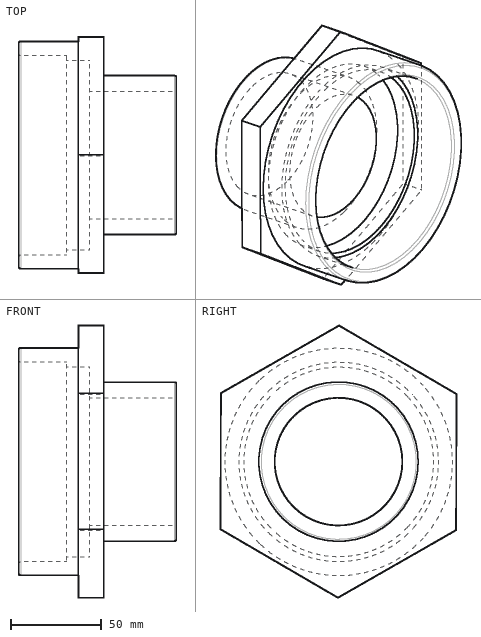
import cadquery as cq

total_length = 87.0
through_diameter = 70.3
edge_radius = 1.2

socket_diameter = 125.5
socket_length = 33.0
mouth_diameter = 110.0
mouth_depth = 26.4
inner_bore_diameter = 104.6
inner_bore_depth = 39.0

hex_across_corners = 150.1
hex_thickness = 14.0
hex_tilt = 0.23

spigot_diameter = 87.8
spigot_start = socket_length + hex_thickness
spigot_length = total_length - spigot_start


def cylinder(diameter, start, length):
    """Solid cylinder along +X, beginning at X = start."""
    return cq.Workplane("YZ", origin=(start, 0, 0)).circle(diameter / 2).extrude(length)


def hex_collar():
    """Hexagonal wrench collar with a corner close to +Z."""
    corner_to_top = 90
    collar = (
        cq.Workplane("YZ", origin=(socket_length, 0, 0))
        .polygon(6, hex_across_corners)
        .extrude(hex_thickness)
    )
    return collar.rotate((0, 0, 0), (1, 0, 0), corner_to_top - hex_tilt)


socket = cylinder(socket_diameter, 0, socket_length).faces("<X").fillet(edge_radius)
spigot = cylinder(spigot_diameter, spigot_start, spigot_length).faces(">X").fillet(edge_radius)
body = socket.union(hex_collar()).union(spigot)

mouth = cylinder(mouth_diameter, 0, mouth_depth)
inner_bore = cylinder(inner_bore_diameter, 0, inner_bore_depth)
through_hole = cylinder(through_diameter, 0, total_length)

result = body.cut(mouth).cut(inner_bore).cut(through_hole)

result = result.faces("<X").edges(cq.selectors.RadiusNthSelector(0)).fillet(edge_radius)